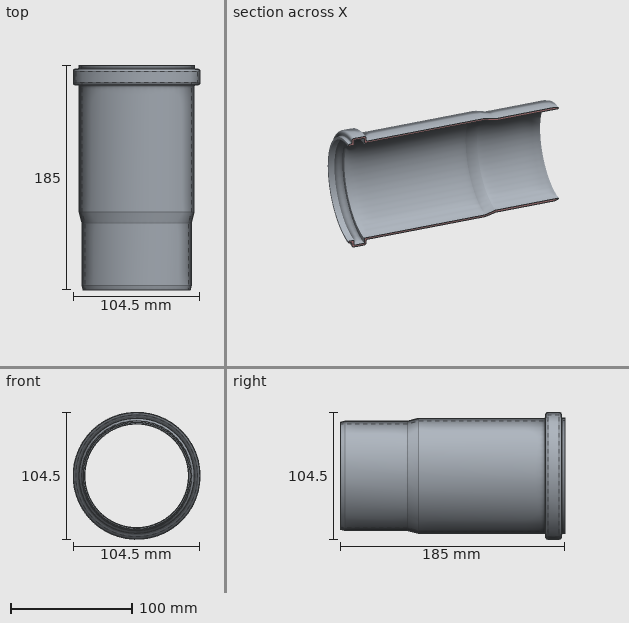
import cadquery as cq
import math

LENGTH = 185.0
SOCKET_WALL = 2.1

SPIGOT_RADIUS = 90.2 / 2
SPIGOT_BORE_RADIUS = 85.4 / 2
SPIGOT_LENGTH = 55.5
TIP_TAPER_LENGTH = 4.0
TIP_TAPER_ANGLE = 15.0
TIP_RADIUS = SPIGOT_RADIUS - TIP_TAPER_LENGTH * math.tan(math.radians(TIP_TAPER_ANGLE))

BODY_RADIUS = 94.7 / 2
MOUTH_RADIUS = 95.0 / 2
CONE_LENGTH = 9.0
BODY_START = SPIGOT_LENGTH + CONE_LENGTH

BEAD_RADIUS = 104.5 / 2
BEAD_END = LENGTH - 3.0
BEAD_WIDTH = 13.0
BEAD_START = BEAD_END - BEAD_WIDTH
BEAD_EDGE_RADIUS = 2.1
BEAD_ROOT_RADIUS = 1.0
GROOVE_START = BEAD_START + SOCKET_WALL
GROOVE_END = BEAD_END - SOCKET_WALL


def turn(outline):
    """Turn a closed XY outline, with radius along X, once around the Y axis."""
    return outline.revolve(360, (0, 0, 0), (0, 1, 0))


def revolve_outline(points):
    """Turn a straight-sided outline given as (radius, y) corners."""
    return turn(cq.Workplane("XY").polyline(points).close())


def cylinder(radius, start, end):
    """Solid cylinder along Y between two stations."""
    return revolve_outline([(0, start), (radius, start), (radius, end), (0, end)])


def make_body():
    """Spigot with tapered tip, cone and socket body, without bead or bore."""
    return revolve_outline([
        (0, 0),
        (TIP_RADIUS, 0),
        (SPIGOT_RADIUS, TIP_TAPER_LENGTH),
        (SPIGOT_RADIUS, SPIGOT_LENGTH),
        (BODY_RADIUS, BODY_START),
        (BODY_RADIUS, BEAD_START),
        (MOUTH_RADIUS, BEAD_START),
        (MOUTH_RADIUS, LENGTH),
        (0, LENGTH),
    ])


def make_bead():
    """Bead around the socket with rounded outer edges."""
    bead = cylinder(BEAD_RADIUS, BEAD_START, BEAD_END)
    return bead.edges("%CIRCLE").fillet(BEAD_EDGE_RADIUS)


def make_root_fillet(tube_radius, flank_y, direction):
    """Concave ring filling the corner between a bead flank and the tube beside it.

    direction is +1 on the mouth side of the bead and -1 on the spigot side.
    """
    outer_radius = tube_radius + BEAD_ROOT_RADIUS
    tangent_y = flank_y + direction * BEAD_ROOT_RADIUS
    diagonal = BEAD_ROOT_RADIUS * math.sqrt(0.5)
    arc_middle = (outer_radius - diagonal, tangent_y - direction * diagonal)
    inner_radius = tube_radius - SOCKET_WALL / 2
    outline = (
        cq.Workplane("XY")
        .moveTo(inner_radius, flank_y)
        .lineTo(outer_radius, flank_y)
        .threePointArc(arc_middle, (tube_radius, tangent_y))
        .lineTo(inner_radius, tangent_y)
        .close()
    )
    return turn(outline)


def make_bore():
    """Spigot bore, inner cone and socket bore."""
    return revolve_outline([
        (0, 0),
        (SPIGOT_BORE_RADIUS, 0),
        (SPIGOT_BORE_RADIUS, SPIGOT_LENGTH),
        (BODY_RADIUS - SOCKET_WALL, BODY_START),
        (BODY_RADIUS - SOCKET_WALL, GROOVE_START),
        (MOUTH_RADIUS - SOCKET_WALL, GROOVE_START),
        (MOUTH_RADIUS - SOCKET_WALL, LENGTH),
        (0, LENGTH),
    ])


def make_seal_groove():
    """Groove inside the bead that holds the sealing ring."""
    return cylinder(BEAD_RADIUS - SOCKET_WALL, GROOVE_START, GROOVE_END)


outside = (
    make_body()
    .union(make_bead())
    .union(make_root_fillet(BODY_RADIUS, BEAD_START, -1))
    .union(make_root_fillet(MOUTH_RADIUS, BEAD_END, 1))
)
result = outside.cut(make_bore()).cut(make_seal_groove())